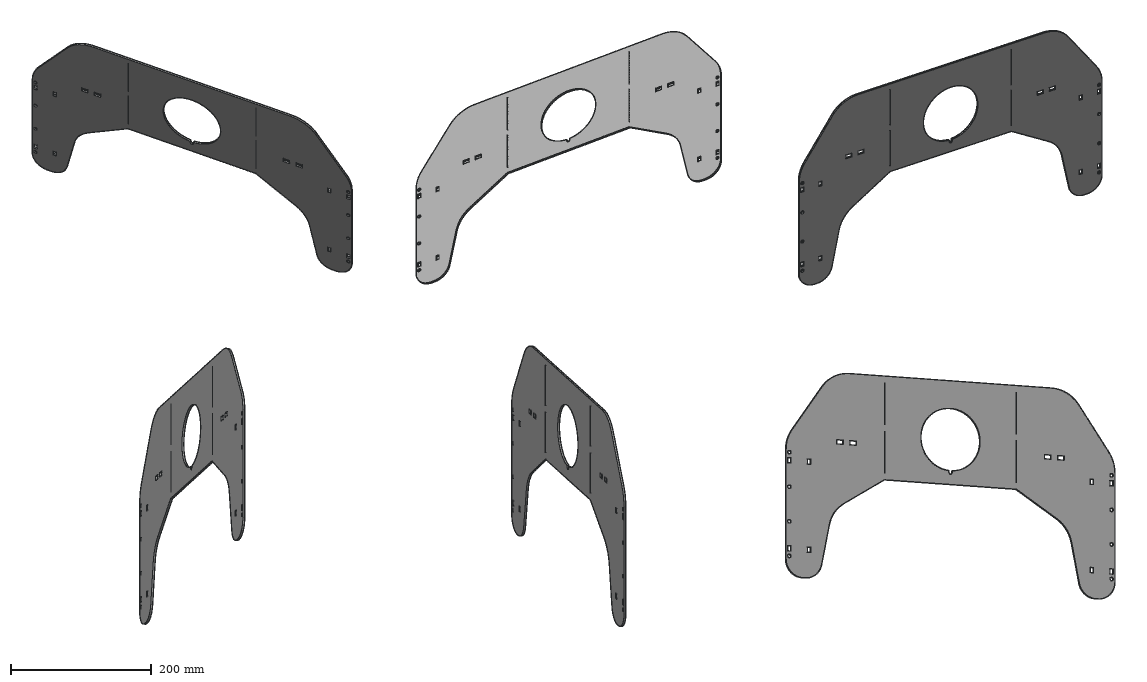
import cadquery as cq
import math

WIDTH = 500.0
HEIGHT = 300.0
THICKNESS = 3.0

TOP_CORNER_X = 180.0
SHOULDER_Z = 200.0
FOOT_INNER_X = 200.0
KNEE_X = 180.0
KNEE_Z = 100.0
BRIDGE_CORNER_X = 100.0
BRIDGE_Z = 150.0

SHOULDER_RADIUS = 50.0
KNEE_RADIUS = 50.0
FOOT_RADIUS = 25.0

OPENING_DIAMETER = 90.0
OPENING_Z = 215.0
NOTCH_WIDTH = 5.0
NOTCH_DEPTH = 5.0

EDGE_HOLE_DIAMETER = 5.0
EDGE_HOLE_X = 245.0
EDGE_HOLE_FIRST_Z = 30.0
EDGE_HOLE_PITCH = 50.0
EDGE_HOLE_COUNT = 4

LEG_SLOT_WIDTH = 5.0
LEG_SLOT_HEIGHT = 7.5
LEG_SLOT_XS = (EDGE_HOLE_X, 215.0)
LEG_SLOT_ZS = (41.0, 168.5)

SHOULDER_SLOT_WIDTH = 10.0
SHOULDER_SLOT_HEIGHT = 6.0
SHOULDER_SLOT_XS = (148.0, 168.0)
SHOULDER_SLOT_Z = 200.0

GROOVE_WIDTH = 0.5
GROOVE_FLOOR = 1.0
GROOVE_COUNT = 2
GROOVE_GAP = 10.0
GROOVE_LENGTH = (HEIGHT - BRIDGE_Z - (GROOVE_COUNT + 1) * GROOVE_GAP) / GROOVE_COUNT
GROOVE_PITCH = GROOVE_LENGTH + GROOVE_GAP
GROOVE_FIRST_Z = BRIDGE_Z + GROOVE_GAP + GROOVE_LENGTH / 2
GROOVE_ZS = [GROOVE_FIRST_Z + i * GROOVE_PITCH for i in range(GROOVE_COUNT)]

SIDES = (-1, 1)


def front_plane():
    """Sketch plane on the middle of the plate: local x is X, local y is Z."""
    return cq.Workplane("XZ")


def through_plate(sketch):
    """Extrude a sketch over the full plate thickness, centred on the XZ plane."""
    return sketch.extrude(THICKNESS / 2, both=True)


def round_corners(plate, corners, radius):
    """Round the plate's Y edges at the given (x, z) corners, on both sides."""
    for x, z in corners:
        for side in SIDES:
            nearest = cq.selectors.NearestToPointSelector((side * x, 0, z))
            plate = plate.edges("|Y").edges(nearest).fillet(radius)
    return plate


def make_plate():
    half_outline = [
        (BRIDGE_CORNER_X, BRIDGE_Z),
        (KNEE_X, KNEE_Z),
        (FOOT_INNER_X, 0),
        (WIDTH / 2, 0),
        (WIDTH / 2, SHOULDER_Z),
        (TOP_CORNER_X, HEIGHT),
    ]
    mirrored = [(-x, z) for x, z in reversed(half_outline)]
    plate = through_plate(front_plane().polyline(half_outline + mirrored).close())

    shoulder_corners = [(WIDTH / 2, SHOULDER_Z), (TOP_CORNER_X, HEIGHT)]
    foot_corners = [(WIDTH / 2, 0), (FOOT_INNER_X, 0)]
    plate = round_corners(plate, shoulder_corners, SHOULDER_RADIUS)
    plate = round_corners(plate, [(KNEE_X, KNEE_Z)], KNEE_RADIUS)
    return round_corners(plate, foot_corners, FOOT_RADIUS)


def make_opening():
    """Large circle joined at its lowest point to a round-ended notch, as one outline."""
    radius = OPENING_DIAMETER / 2
    notch_half = NOTCH_WIDTH / 2
    notch_bottom_z = OPENING_Z - radius - NOTCH_DEPTH
    notch_side_bottom_z = notch_bottom_z + notch_half
    notch_mouth_z = OPENING_Z - math.sqrt(radius**2 - notch_half**2)
    outline = (
        front_plane()
        .moveTo(notch_half, notch_mouth_z)
        .threePointArc((0, OPENING_Z + radius), (-notch_half, notch_mouth_z))
        .lineTo(-notch_half, notch_side_bottom_z)
        .threePointArc((0, notch_bottom_z), (notch_half, notch_side_bottom_z))
        .close()
    )
    return through_plate(outline)


def make_edge_holes():
    centres = [
        (side * EDGE_HOLE_X, EDGE_HOLE_FIRST_Z + i * EDGE_HOLE_PITCH)
        for side in SIDES
        for i in range(EDGE_HOLE_COUNT)
    ]
    return through_plate(front_plane().pushPoints(centres).circle(EDGE_HOLE_DIAMETER / 2))


def make_slots(xs, zs, width, height):
    centres = [(side * x, z) for side in SIDES for x in xs for z in zs]
    return through_plate(front_plane().pushPoints(centres).rect(width, height))


def make_rear_grooves():
    """Grooves open at the rear (+Y) face that leave a thin floor at the front face."""
    grooves = make_slots((BRIDGE_CORNER_X,), GROOVE_ZS, GROOVE_WIDTH, GROOVE_LENGTH)
    return grooves.translate((0, GROOVE_FLOOR, 0))


leg_slots = make_slots(LEG_SLOT_XS, LEG_SLOT_ZS, LEG_SLOT_WIDTH, LEG_SLOT_HEIGHT)
shoulder_slots = make_slots(
    SHOULDER_SLOT_XS, (SHOULDER_SLOT_Z,), SHOULDER_SLOT_WIDTH, SHOULDER_SLOT_HEIGHT
)

result = (
    make_plate()
    .cut(make_opening())
    .cut(make_edge_holes())
    .cut(leg_slots)
    .cut(shoulder_slots)
    .cut(make_rear_grooves())
)